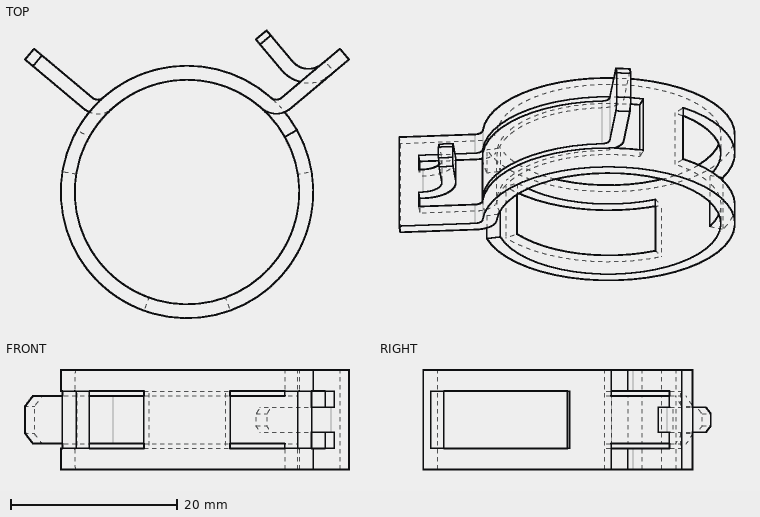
import cadquery as cq
import math


inner_radius = 13.5
thickness = 1.7
outer_radius = inner_radius + thickness
band_width = 12.0
tongue_width = 5.75
window_width = 6.9
hook_width = 3.05

front_bridge_half_angle = 20.0
side_window_end = 9.3
band_end = 29.4
front_window_start = 270 + front_bridge_half_angle

ear_angle = 40.0
ear_half_span = 19.5
ear_top_v = 1.38
ear_bottom_v = ear_top_v - thickness
bend_radius = 1.0
tongue_ear_chamfer = 1.25

ear_tilt = math.radians(ear_angle)
ear_tip_u = (ear_half_span + ear_bottom_v * math.sin(ear_tilt)) / math.cos(ear_tilt)

bend_centre_distance = outer_radius + bend_radius
bend_centre_v = ear_top_v + bend_radius
bend_centre_u = math.sqrt(bend_centre_distance**2 - bend_centre_v**2)
bend_tilt = math.atan2(bend_centre_v, bend_centre_u)
bend_start = ear_angle + math.degrees(bend_tilt)

slot_end_margin = 2.35
slot_end_u = ear_tip_u - slot_end_margin
hook_bend_radius = 2.5
hook_root_length = 0.5
hook_tip_v = 8.75
hook_chamfer = 0.8


def polar(radius, angle, centre=(0, 0)):
    """Point at a radius and an angle in radians about a centre."""
    return (centre[0] + radius * math.cos(angle), centre[1] + radius * math.sin(angle))


def extrude_centred(outline, width):
    """Solid of the given width, symmetric about Z = 0."""
    return outline.close().extrude(width / 2, both=True)


def ring_sector(start_deg, end_deg, width, radial_margin=0.0):
    """Part of the ring running counterclockwise from start_deg to end_deg."""
    start = math.radians(start_deg)
    end = math.radians(end_deg)
    middle = (start + end) / 2
    inner = inner_radius - radial_margin
    outer = outer_radius + radial_margin
    outline = (
        cq.Workplane("XY")
        .moveTo(*polar(inner, start))
        .lineTo(*polar(outer, start))
        .threePointArc(polar(outer, middle), polar(outer, end))
        .lineTo(*polar(inner, end))
        .threePointArc(polar(inner, middle), polar(inner, start))
    )
    return extrude_centred(outline, width)


def flat_ear(tip_u, width):
    """Ear with its bend, lying along +X before it is turned into place."""
    centre = (bend_centre_u, bend_centre_v)
    ring_side = bend_tilt - math.pi
    ear_side = -math.pi / 2
    middle = (ring_side + ear_side) / 2
    outside_radius = bend_radius + thickness
    outline = (
        cq.Workplane("XY")
        .moveTo(*polar(bend_radius, ring_side, centre))
        .threePointArc(polar(bend_radius, middle, centre), polar(bend_radius, ear_side, centre))
        .lineTo(tip_u, ear_top_v)
        .lineTo(tip_u, ear_bottom_v)
        .lineTo(bend_centre_u, ear_bottom_v)
        .threePointArc(polar(outside_radius, middle, centre), polar(outside_radius, ring_side, centre))
    )
    return extrude_centred(outline, width)


def turn_into_place(solid):
    """Turn a solid from the u, v frame to the ear direction on the +X side."""
    return solid.rotate((0, 0, 0), (0, 0, 1), ear_angle)


def make_wide_band():
    """Full-width band from the +X ear around to its free end, with its windows."""
    radial_margin = 1.0
    band = ring_sector(bend_start, 360 + band_end, band_width)
    band = band.union(turn_into_place(flat_ear(ear_tip_u, band_width)))

    right_window = ring_sector(front_window_start, 360 + side_window_end, window_width, radial_margin)
    left_window = right_window.mirror("YZ")
    tongue_window = ring_sector(bend_start, 180 - band_end, window_width)
    ear_slot = turn_into_place(flat_ear(slot_end_u, window_width))
    return band.cut(right_window).cut(left_window).cut(tongue_window).cut(ear_slot)


def make_tongue():
    """Narrow strip from the band's free end, through the window, to the -X ear."""
    ear = flat_ear(ear_tip_u, tongue_width).faces(">X").edges("|Y").chamfer(tongue_ear_chamfer)
    ear = turn_into_place(ear).mirror("YZ")
    return ring_sector(band_end, 180 - bend_start, tongue_width).union(ear)


def make_hook():
    """Narrow tab leaving the slot end and bending square to the ear."""
    centre = (slot_end_u - hook_root_length, ear_top_v + hook_bend_radius)
    outside_radius = hook_bend_radius + thickness
    ear_side = -math.pi / 2
    tip_side = -math.pi
    middle = (ear_side + tip_side) / 2
    outline = (
        cq.Workplane("XY")
        .moveTo(slot_end_u, ear_bottom_v)
        .lineTo(slot_end_u, ear_top_v)
        .lineTo(centre[0], ear_top_v)
        .threePointArc(polar(hook_bend_radius, middle, centre), polar(hook_bend_radius, tip_side, centre))
        .lineTo(centre[0] - hook_bend_radius, hook_tip_v)
        .lineTo(centre[0] - outside_radius, hook_tip_v)
        .lineTo(*polar(outside_radius, tip_side, centre))
        .threePointArc(polar(outside_radius, middle, centre), polar(outside_radius, ear_side, centre))
    )
    hook = extrude_centred(outline, hook_width)
    hook = hook.faces(">Y").edges("|X").chamfer(hook_chamfer)
    return turn_into_place(hook)


result = make_wide_band().union(make_tongue()).union(make_hook())